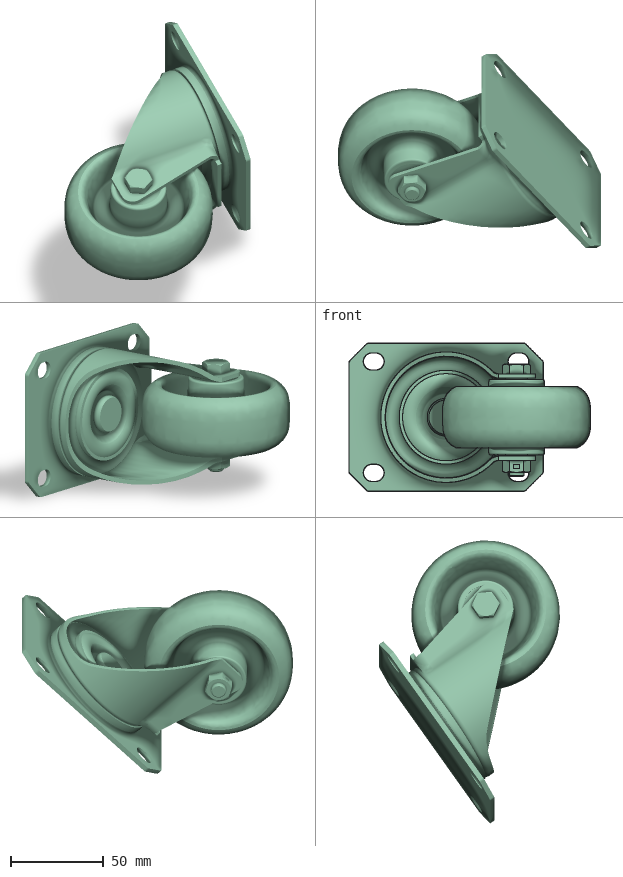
import cadquery as cq
import math


PLATE_X = 104.9
PLATE_Z = 80.0
PLATE_THICKNESS = 2.7
PLATE_CORNER_CUT = 10.0
PLATE_CORNER_ROUND = 2.0
SLOT_SPACING_X = 78.0
SLOT_SPACING_Z = 60.0
SLOT_LENGTH = 11.1
SLOT_WIDTH = 9.1

BOSS_RADIUS = 34.7
BOSS_FLARE = 1.0
SPIGOT_RADIUS = 31.3
RING_RADIUS = 35.2
RING_TOP = -4.8
FORK_TOP = -9.0

SHEET = 2.3
CROWN_RADIUS = RING_RADIUS
CROWN_ROUND = 2.5
CROWN_INNER_ROUND = 3.7
GROOVE_INNER_EDGE_Y = -13.3
TAB_TOP = FORK_TOP - CROWN_ROUND
LEG_OUTER_Z = 23.4
LEG_BEND_RADIUS = 5.3
LEG_BLEND_RADIUS = 5.6
TAB_END_X = 39.9
LEG_TOP_END_X = 36.7
LEG_LEAN = 13.5
LEG_CORNER_ROUND = 6.3
FORK_END_Y = -71.5
REAR_EDGE_Y = -14.4
REAR_EDGE_END_X = 28.3
REAR_EDGE_SLOPE = 46.6
REAR_EDGE_ROUND = 21.3

CUP_TOP = FORK_TOP - SHEET
CUP_RADIUS = 25.3
CUP_RIM_Y = -16.5
CUP_BEAD_Y = -17.6
BEAD_OUTER_RADIUS = 23.5
BEAD_INNER_RADIUS = 16.2
CUP_CONE_RADIUS = 12.8
CUP_CONE_Y = -13.2
CUP_FLOOR_RADIUS = 12.0
CUP_FLOOR_Y = -12.9

PIN_SHANK_RADIUS = 7.8
PIN_HEAD_RADIUS = 9.3
PIN_HEAD_BULGE_RADIUS = 10.2
PIN_END_Y = CUP_BEAD_Y

WHEEL_X = 38.0
WHEEL_RADIUS = 40.0
WHEEL_Y = -59.9
TREAD_HALF_WIDTH = 16.6
SHOULDER_RADIUS = 38.6
SHOULDER_HALF_WIDTH = 10.7
RIM_RADIUS = 32.6
RIM_WALL_RADIUS = 27.7
RIM_WALL_Z = 10.5
RIM_FOOT_RADIUS = 24.7
RIM_FOOT_Z = 3.9
RIM_FOOT_DIRECTION = (-0.5, -1)
WEB_RADIUS = 23.1
WEB_HALF_THICKNESS = 3.0
HUB_TOP_RADIUS = 15.0
HUB_FOOT_RADIUS = 15.7
HUB_FOOT_ROUND = 2.3
HUB_EDGE_ROUND = 1.0
HUB_HALF_LENGTH = 20.4
HUB_RECESS_RADIUS = 12.0
HUB_RECESS_DEPTH = 0.4

TUBE_RADIUS = 6.0
LEG_INNER_Z = LEG_OUTER_Z - SHEET
BOLT_RADIUS = 4.0
BOLT_END_Z = -32.0
BOLT_END_CHAMFER = 0.7
HEX_FLATS = 13.0
HEX_CHAMFER_ANGLE = 30
BOLT_HEAD_HEIGHT = 5.2
NUT_HEIGHT = 6.4
NUT_MARK_X = 3.1
NUT_MARK_Z = 2.3
NUT_MARK_DEPTH = 0.4


def swivel_disc(radius, top, bottom):
    """Cylinder about the swivel axis between two Y levels."""
    disc = cq.Workplane("XZ", origin=(0, top, 0)).circle(radius)
    return disc.extrude(top - bottom)


def axle_cylinder(radius, start_z, end_z):
    """Cylinder about the wheel axle between two Z levels."""
    cylinder = cq.Workplane("XY", origin=(WHEEL_X, WHEEL_Y, start_z)).circle(radius)
    return cylinder.extrude(end_z - start_z)


def spin(profile):
    """Close an outline whose first coordinate is the radius and revolve it about its second axis."""
    return profile.close().revolve(360, (0, 0), (0, 1))


def axle_profile():
    """Workplane through the axle whose axes are the radius and Z."""
    return cq.Workplane("XZ", origin=(WHEEL_X, WHEEL_Y, 0))


def make_plate():
    plate = cq.Workplane("XZ").rect(PLATE_X, PLATE_Z).extrude(PLATE_THICKNESS)
    plate = plate.edges("|Y").chamfer(PLATE_CORNER_CUT)
    plate = plate.edges("|Y").fillet(PLATE_CORNER_ROUND)
    slots = cq.Workplane("XZ").rect(SLOT_SPACING_X, SLOT_SPACING_Z, forConstruction=True).vertices()
    plate = plate.cut(slots.slot2D(SLOT_LENGTH, SLOT_WIDTH).extrude(PLATE_THICKNESS))
    flare_radius = BOSS_RADIUS + BOSS_FLARE
    flare_end = -PLATE_THICKNESS - BOSS_FLARE
    flare_offset = BOSS_FLARE * (1 - math.sqrt(0.5))
    boss = spin(
        cq.Workplane("XY")
        .moveTo(0, -PLATE_THICKNESS)
        .lineTo(flare_radius, -PLATE_THICKNESS)
        .threePointArc(
            (BOSS_RADIUS + flare_offset, -PLATE_THICKNESS - flare_offset), (BOSS_RADIUS, flare_end)
        )
        .lineTo(BOSS_RADIUS, RING_TOP)
        .lineTo(SPIGOT_RADIUS, RING_TOP)
        .lineTo(SPIGOT_RADIUS, FORK_TOP)
        .lineTo(0, FORK_TOP)
    )
    pin_hole = swivel_disc(PIN_SHANK_RADIUS, -PLATE_THICKNESS, FORK_TOP)
    return plate.union(boss).cut(pin_hole)


def make_dust_ring():
    return swivel_disc(RING_RADIUS, RING_TOP, FORK_TOP).cut(
        swivel_disc(SPIGOT_RADIUS, RING_TOP, FORK_TOP)
    )


def fork_form(radius, half_width, top, bend_radius, blend_radius):
    """Round crown blended into a straight channel whose long top edges are bent round.

    The crown starts above the channel so that the blend runs out over the channel's top; what
    stands above `top` is then cut away.
    """
    length = -FORK_END_Y
    overshoot = 2 * blend_radius
    crown = swivel_disc(radius, top + overshoot, top - length)
    channel = (
        cq.Workplane("XY")
        .box(2 * radius, length, 2 * half_width, centered=(False, False, True))
        .translate((0, top - length, 0))
        .edges("|X and >Y")
        .fillet(bend_radius)
    )
    joint_x = math.sqrt(radius**2 - half_width**2)
    margin = 1.3
    near_joint = cq.selectors.BoxSelector(
        (joint_x - margin, top - length - margin, -half_width - margin),
        (joint_x + margin, top - bend_radius, half_width + margin),
    )
    form = crown.union(channel).edges(near_joint).edges("|Y").fillet(blend_radius)
    return form.cut(swivel_disc(2 * radius, top + overshoot, top))


def fork_side_outline():
    """Side shape of the fork, running through its whole width."""
    lean = math.tan(math.radians(LEG_LEAN))
    slope = math.tan(math.radians(REAR_EDGE_SLOPE))
    bend_end_y = TAB_TOP - LEG_BEND_RADIUS
    front_end_x = LEG_TOP_END_X + (bend_end_y - FORK_END_Y) * lean
    rear_start_x = REAR_EDGE_END_X - (REAR_EDGE_Y - FORK_END_Y) / slope
    rear_end_x = rear_start_x - REAR_EDGE_ROUND
    side = (
        cq.Workplane("XY", origin=(0, 0, -CROWN_RADIUS))
        .moveTo(rear_end_x, FORK_TOP)
        .lineTo(LEG_TOP_END_X, FORK_TOP)
        .lineTo(LEG_TOP_END_X, bend_end_y)
        .lineTo(front_end_x, FORK_END_Y)
        .lineTo(REAR_EDGE_END_X, FORK_END_Y)
        .lineTo(rear_start_x, REAR_EDGE_Y)
        .lineTo(rear_end_x, REAR_EDGE_Y)
        .close()
        .extrude(2 * CROWN_RADIUS)
    )
    side = side.edges(cq.selectors.NearestToPointSelector((front_end_x, FORK_END_Y, 0)))
    side = side.fillet(LEG_CORNER_ROUND)
    side = side.edges(cq.selectors.NearestToPointSelector((rear_start_x, REAR_EDGE_Y, 0)))
    return side.fillet(REAR_EDGE_ROUND)


def crown_dish():
    """Hollow under the crown: an annular groove round a flat recess that seats the cup."""
    wall_radius = CROWN_RADIUS - SHEET
    groove_radius = wall_radius - CROWN_INNER_ROUND
    round_end_y = CUP_TOP - CROWN_INNER_ROUND
    round_offset = CROWN_INNER_ROUND * (1 - math.sqrt(0.5))
    return spin(
        cq.Workplane("XY")
        .moveTo(0, round_end_y)
        .lineTo(wall_radius, round_end_y)
        .threePointArc(
            (wall_radius - round_offset, CUP_TOP - round_offset), (groove_radius, CUP_TOP)
        )
        .tangentArcPoint((CUP_RADIUS, GROOVE_INNER_EDGE_Y), relative=False)
        .lineTo(CUP_RADIUS, CUP_TOP)
        .lineTo(0, CUP_TOP)
    )


def make_fork():
    shell = fork_form(CROWN_RADIUS, LEG_OUTER_Z, TAB_TOP, LEG_BEND_RADIUS, LEG_BLEND_RADIUS)
    crown = swivel_disc(CROWN_RADIUS, FORK_TOP, TAB_TOP - CROWN_ROUND)
    shell = shell.union(crown.faces(">Y").edges().fillet(CROWN_ROUND))
    hollow = fork_form(
        CROWN_RADIUS - SHEET,
        LEG_INNER_Z,
        TAB_TOP - SHEET,
        LEG_BEND_RADIUS - SHEET,
        LEG_BLEND_RADIUS + SHEET,
    )
    fork = shell.cut(hollow).cut(crown_dish()).intersect(fork_side_outline())
    tab = cq.Workplane("XY").box(
        TAB_END_X - LEG_TOP_END_X,
        SHEET,
        2 * (LEG_OUTER_Z - LEG_BEND_RADIUS),
        centered=(False, False, True),
    )
    fork = fork.union(tab.translate((LEG_TOP_END_X, TAB_TOP - SHEET, 0)))
    fork = fork.cut(swivel_disc(PIN_SHANK_RADIUS, FORK_TOP, CUP_TOP))
    return fork.cut(axle_cylinder(BOLT_RADIUS, -LEG_OUTER_Z, LEG_OUTER_Z))


def make_cup():
    bead_middle_radius = (BEAD_INNER_RADIUS + BEAD_OUTER_RADIUS) / 2
    return spin(
        cq.Workplane("XY")
        .moveTo(PIN_SHANK_RADIUS, CUP_TOP)
        .lineTo(CUP_RADIUS, CUP_TOP)
        .lineTo(CUP_RADIUS, CUP_RIM_Y)
        .lineTo(BEAD_OUTER_RADIUS, CUP_RIM_Y)
        .threePointArc((bead_middle_radius, CUP_BEAD_Y), (BEAD_INNER_RADIUS, CUP_RIM_Y))
        .lineTo(CUP_CONE_RADIUS, CUP_CONE_Y)
        .tangentArcPoint((CUP_FLOOR_RADIUS, CUP_FLOOR_Y), relative=False)
        .lineTo(PIN_SHANK_RADIUS, CUP_FLOOR_Y)
    )


def make_kingpin():
    head_middle_y = (CUP_FLOOR_Y + PIN_END_Y) / 2
    return spin(
        cq.Workplane("XY")
        .moveTo(0, -PLATE_THICKNESS)
        .lineTo(PIN_SHANK_RADIUS, -PLATE_THICKNESS)
        .lineTo(PIN_SHANK_RADIUS, CUP_FLOOR_Y)
        .lineTo(PIN_HEAD_RADIUS, CUP_FLOOR_Y)
        .threePointArc((PIN_HEAD_BULGE_RADIUS, head_middle_y), (PIN_HEAD_RADIUS, PIN_END_Y))
        .lineTo(0, PIN_END_Y)
    )


def make_wheel_side_pocket():
    """Ring-shaped hollow between rim and hub, on the +Z side."""
    hub_slope = (HUB_FOOT_RADIUS - HUB_TOP_RADIUS) / (HUB_HALF_LENGTH - WEB_HALF_THICKNESS)
    outer_top_radius = HUB_TOP_RADIUS - HUB_EDGE_ROUND
    pocket = (
        axle_profile()
        .moveTo(RIM_RADIUS, TREAD_HALF_WIDTH)
        .spline(
            [(RIM_WALL_RADIUS, RIM_WALL_Z), (RIM_FOOT_RADIUS, RIM_FOOT_Z)],
            tangents=[(-1, 0), RIM_FOOT_DIRECTION],
            includeCurrent=True,
        )
        .tangentArcPoint((WEB_RADIUS, WEB_HALF_THICKNESS), relative=False)
        .lineTo(HUB_FOOT_RADIUS + HUB_FOOT_ROUND, WEB_HALF_THICKNESS)
        .tangentArcPoint(
            (HUB_FOOT_RADIUS - hub_slope * HUB_FOOT_ROUND, WEB_HALF_THICKNESS + HUB_FOOT_ROUND),
            relative=False,
        )
        .lineTo(HUB_TOP_RADIUS, HUB_HALF_LENGTH - HUB_EDGE_ROUND)
        .tangentArcPoint((outer_top_radius, HUB_HALF_LENGTH), relative=False)
        .lineTo(RIM_RADIUS, HUB_HALF_LENGTH)
    )
    return spin(pocket)


def make_wheel():
    tread = spin(
        axle_profile()
        .moveTo(0, -TREAD_HALF_WIDTH)
        .lineTo(RIM_RADIUS, -TREAD_HALF_WIDTH)
        .spline(
            [
                (SHOULDER_RADIUS, -SHOULDER_HALF_WIDTH),
                (WHEEL_RADIUS, 0),
                (SHOULDER_RADIUS, SHOULDER_HALF_WIDTH),
                (RIM_RADIUS, TREAD_HALF_WIDTH),
            ],
            includeCurrent=True,
        )
        .lineTo(0, TREAD_HALF_WIDTH)
    )
    wheel = tread.union(axle_cylinder(HUB_FOOT_RADIUS, -HUB_HALF_LENGTH, HUB_HALF_LENGTH))
    pocket = make_wheel_side_pocket()
    wheel = wheel.cut(pocket).cut(pocket.mirror("XY"))
    for side in (-1, 1):
        recess_floor = side * (HUB_HALF_LENGTH - HUB_RECESS_DEPTH)
        wheel = wheel.cut(axle_cylinder(HUB_RECESS_RADIUS, recess_floor, side * HUB_HALF_LENGTH))
    return wheel.cut(axle_cylinder(TUBE_RADIUS, -HUB_HALF_LENGTH, HUB_HALF_LENGTH))


def make_spacer_tube():
    return axle_cylinder(TUBE_RADIUS, -LEG_INNER_Z, LEG_INNER_Z).cut(
        axle_cylinder(BOLT_RADIUS, -LEG_INNER_Z, LEG_INNER_Z)
    )


def hexagon(start_z, height):
    """Hexagon on the axle with points along X; its +Z end has conically chamfered corners."""
    corner_radius = HEX_FLATS / math.sqrt(3)
    flat_radius = HEX_FLATS / 2
    drop = (corner_radius - flat_radius) * math.tan(math.radians(HEX_CHAMFER_ANGLE))
    prism = cq.Workplane("XY").polygon(6, 2 * corner_radius).extrude(height)
    envelope = spin(
        cq.Workplane("XZ")
        .lineTo(corner_radius, 0)
        .lineTo(corner_radius, height - drop)
        .lineTo(flat_radius, height)
        .lineTo(0, height)
    )
    return prism.intersect(envelope).translate((WHEEL_X, WHEEL_Y, start_z))


def make_bolt():
    shank = axle_cylinder(BOLT_RADIUS, LEG_OUTER_Z, BOLT_END_Z)
    shank = shank.faces("<Z").edges().chamfer(BOLT_END_CHAMFER)
    return shank.union(hexagon(LEG_OUTER_Z, BOLT_HEAD_HEIGHT))


def make_nut():
    nut = hexagon(LEG_OUTER_Z, NUT_HEIGHT).mirror("XY")
    nut = nut.cut(axle_cylinder(BOLT_RADIUS, -LEG_OUTER_Z, -LEG_OUTER_Z - NUT_HEIGHT))
    mark = cq.Workplane("XY").box(NUT_MARK_X, 2 * NUT_MARK_DEPTH, NUT_MARK_Z)
    mark_y = WHEEL_Y - HEX_FLATS / 2
    return nut.cut(mark.translate((WHEEL_X, mark_y, -LEG_OUTER_Z - NUT_HEIGHT / 2)))


plate = make_plate()
dust_ring = make_dust_ring()
fork = make_fork()
cup = make_cup()
kingpin = make_kingpin()
wheel = make_wheel()
spacer_tube = make_spacer_tube()
bolt = make_bolt()
nut = make_nut()

result = cq.Compound.makeCompound(
    [
        plate.val(),
        dust_ring.val(),
        fork.val(),
        cup.val(),
        kingpin.val(),
        wheel.val(),
        spacer_tube.val(),
        bolt.val(),
        nut.val(),
    ]
)